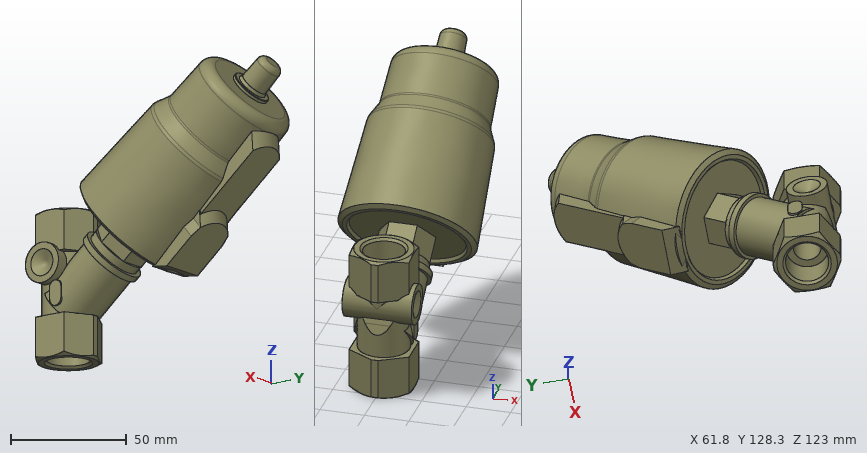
import cadquery as cq
import math

BODY_LENGTH = 66.0
HEX_LENGTH = 19.0
HEX_FLATS = 27.0
HEX_TURN = 30.0
HEX_TRIMMED_WIDTH = 29.4
HEX_END_DIAMETER = 26.2
HEX_CHAMFER_ANGLE = 30.0
PIPE_DIAMETER = 23.2
BORE_DIAMETER = 12.0
THREAD_DIAMETER = 18.63
THREAD_MOUTH_DIAMETER = 20.9
THREAD_DEPTH = 15.0

BOSS_DIAMETER = 18.0
BOSS_LENGTH = 31.2
BOSS_Y = -2.6
BOSS_Z = 9.3
DIMPLE_DIAMETER = 12.0
DIMPLE_DEPTH = 3.6

RELIEF_TIP_Z = -3.4
RELIEF_CREASE_Y = -10.1
RELIEF_CREASE_Z = 1.0
RELIEF_TOP_Y = -9.0
RELIEF_TOP_Z = 3.9

PAD_WIDTH = 6.2
PAD_HEIGHT = 11.4
PAD_Y = 3.0
PAD_Z = -4.7

AXIS_START_Z = -9.1
AXIS_TILT = 50.0

BRANCH_DIAMETER = 26.0
BRANCH_END = 29.4
COLLAR_DIAMETER = 29.0
COLLAR_END = 32.3
NECK_DIAMETER = 25.0
NECK_END = 36.1
STEM_FLATS = 22.0

RIM = 47.0
RIM_FACE_RADIUS = 28.6
SKIRT_BOTTOM = 48.5
SKIRT_RADIUS = 61.77 / 2
SKIRT_TOP = 95.6
SKIRT_TOP_RADIUS = 28.35
SHOULDER = 97.1
SHOULDER_RADIUS = 27.9
STEP_TOP = 103.4
STEP_TOP_RADIUS = 24.9
CAP_BOTTOM = 104.3
CAP_BOTTOM_RADIUS = 24.7
CAP_ROUND_START = 123.9
CAP_ROUND_RADIUS = 5.0
CAP_RADIUS = 23.9
CAP_FACE = CAP_ROUND_START + CAP_ROUND_RADIUS
RECESS_MOUTH_DIAMETER = 53.4
RECESS_FLOOR_DIAMETER = 51.7
RECESS_DEPTH = 1.5

PLUG_COLLAR_DIAMETER = 18.2
PLUG_COLLAR_HEIGHT = 1.6
PLUG_COLLAR_CHAMFER = 0.3
PLUG_FOOT_DIAMETER = 14.0
PLUG_FOOT_TOP = 132.0
PLUG_BASE_DIAMETER = 12.7
PLUG_TIP_DIAMETER = 11.8
PLUG_ROUND_RADIUS = 2.9
PLUG_END = 144.8

FIN_ROOT = 20.0
FIN_END_SLOPE = 0.72
FIN_END_RADIUS = 14.5
LONG_FIN_WIDTH = 19.0
LONG_FIN_DEPTH = 29.2
LONG_FIN_END = 120.3
SHORT_FIN_WIDTH = 22.0
SHORT_FIN_DEPTH = 33.9
SHORT_FIN_END = 79.7
SHORT_FIN_HEAD_WIDTH = 19.5
HEAD_TAPER_START = 75.1
HEAD_TAPER_END = 69.7
FIN_FOOT_DEPTH = 28.2
FIN_FOOT_STATION = 52.3


def cylinder(diameter, start, end):
    """Cylinder along Z between two stations."""
    return cq.Workplane("XY").workplane(offset=start).circle(diameter / 2).extrude(end - start)


def across_corners(flats):
    """Width across the corners of a hexagon, from its width across flats."""
    return flats / math.cos(math.pi / 6)


def hex_socket():
    """Upper hexagonal socket with two corners cut flat and a chamfered end."""
    bottom = BODY_LENGTH / 2 - HEX_LENGTH
    corner_diameter = across_corners(HEX_FLATS)
    prism = (
        cq.Workplane("XY").workplane(offset=bottom)
        .transformed(rotate=(0, 0, HEX_TURN))
        .polygon(6, corner_diameter).extrude(HEX_LENGTH)
    )
    trim = (
        cq.Workplane("XY").workplane(offset=bottom)
        .rect(HEX_FLATS, HEX_TRIMMED_WIDTH).extrude(HEX_LENGTH)
    )
    outer = corner_diameter / 2
    end_radius = HEX_END_DIAMETER / 2
    drop = (outer - end_radius) * math.tan(math.radians(HEX_CHAMFER_ANGLE))
    top = BODY_LENGTH / 2
    envelope = (
        cq.Workplane("XZ")
        .polyline([(0, bottom), (outer, bottom), (outer, top - drop), (end_radius, top), (0, top)])
        .close().revolve(360, (0, 0, 0), (0, 1, 0))
    )
    return prism.intersect(trim).intersect(envelope)


def thread_hole():
    """Threaded hole of the upper socket, with a countersunk mouth."""
    top = BODY_LENGTH / 2
    hole = THREAD_DIAMETER / 2
    mouth = THREAD_MOUTH_DIAMETER / 2
    return (
        cq.Workplane("XZ")
        .polyline([(0, top - THREAD_DEPTH), (hole, top - THREAD_DEPTH),
                   (hole, top - (mouth - hole)), (mouth, top), (0, top)])
        .close().revolve(360, (0, 0, 0), (0, 1, 0))
    )


def both_ends(upper):
    """The upper feature together with its mirror image at the lower end."""
    return upper.union(upper.mirror("XY"))


def pipe():
    """Pipe between the sockets, relieved below the boss."""
    half = BODY_LENGTH / 2 - HEX_LENGTH / 2
    front = -PIPE_DIAMETER / 2
    relief = (
        cq.Workplane("YZ")
        .polyline([(front, RELIEF_TIP_Z), (RELIEF_CREASE_Y, RELIEF_CREASE_Z),
                   (RELIEF_TOP_Y, RELIEF_TOP_Z), (front, BOSS_Z)])
        .close().extrude(PIPE_DIAMETER / 2, both=True)
    )
    return cylinder(PIPE_DIAMETER, -half, half).cut(relief)


def boss():
    """Cross boss along X with a conical dimple in each end."""
    half = BOSS_LENGTH / 2
    radius = BOSS_DIAMETER / 2
    dimple = DIMPLE_DIAMETER / 2
    return (
        cq.Workplane("XY")
        .polyline([(-half + DIMPLE_DEPTH, 0), (-half, dimple), (-half, radius),
                   (half, radius), (half, dimple), (half - DIMPLE_DEPTH, 0)])
        .close().revolve(360, (0, 0, 0), (1, 0, 0))
        .translate((0, BOSS_Y, BOSS_Z))
    )


def pads():
    """Oval pads level with the flats of the sockets."""
    return (
        cq.Workplane("YZ").center(PAD_Y, PAD_Z)
        .slot2D(PAD_HEIGHT, PAD_WIDTH, 90).extrude(HEX_FLATS / 2, both=True)
    )


def branch():
    """Branch, collar, neck and hexagonal stem, along Z from the axis start."""
    stem = (
        cq.Workplane("XY").workplane(offset=NECK_END)
        .polygon(6, across_corners(STEM_FLATS)).extrude(RIM + RECESS_DEPTH - NECK_END)
    )
    return (
        cylinder(BRANCH_DIAMETER, 0, BRANCH_END)
        .union(cylinder(COLLAR_DIAMETER, BRANCH_END, COLLAR_END))
        .union(cylinder(NECK_DIAMETER, COLLAR_END, NECK_END))
        .union(stem)
    )


def housing():
    """Turned actuator housing with a shallow recess in its rim face."""
    round_centre = CAP_RADIUS - CAP_ROUND_RADIUS
    diagonal = CAP_ROUND_RADIUS * math.sqrt(0.5)
    return (
        cq.Workplane("XZ")
        .moveTo(0, RIM + RECESS_DEPTH)
        .lineTo(RECESS_FLOOR_DIAMETER / 2, RIM + RECESS_DEPTH)
        .lineTo(RECESS_MOUTH_DIAMETER / 2, RIM)
        .lineTo(RIM_FACE_RADIUS, RIM)
        .lineTo(SKIRT_RADIUS, SKIRT_BOTTOM)
        .lineTo(SKIRT_TOP_RADIUS, SKIRT_TOP)
        .lineTo(SHOULDER_RADIUS, SHOULDER)
        .lineTo(STEP_TOP_RADIUS, STEP_TOP)
        .lineTo(CAP_BOTTOM_RADIUS, CAP_BOTTOM)
        .lineTo(CAP_RADIUS, CAP_ROUND_START)
        .threePointArc((round_centre + diagonal, CAP_ROUND_START + diagonal), (round_centre, CAP_FACE))
        .lineTo(0, CAP_FACE)
        .close().revolve(360, (0, 0, 0), (0, 1, 0))
    )


def plug():
    """Tapered indicator plug with a rounded tip and a flared foot, standing in a low collar."""
    collar = (
        cylinder(PLUG_COLLAR_DIAMETER, CAP_FACE, CAP_FACE + PLUG_COLLAR_HEIGHT)
        .faces(">Z").chamfer(PLUG_COLLAR_CHAMFER)
    )
    stub = (
        cq.Workplane("XZ")
        .polyline([(0, CAP_FACE), (PLUG_FOOT_DIAMETER / 2, CAP_FACE),
                   (PLUG_FOOT_DIAMETER / 2, CAP_FACE + PLUG_COLLAR_HEIGHT),
                   (PLUG_BASE_DIAMETER / 2, PLUG_FOOT_TOP), (PLUG_TIP_DIAMETER / 2, PLUG_END), (0, PLUG_END)])
        .close().revolve(360, (0, 0, 0), (0, 1, 0))
        .faces(">Z").edges().fillet(PLUG_ROUND_RADIUS)
    )
    return collar.union(stub)


def fin(width, depth, end, foot):
    """Fin under the housing; foot lists its (depth, station) corners nearest the rim."""
    root_end = end + FIN_END_SLOPE * (depth - FIN_ROOT)
    side = (
        cq.Workplane("YZ")
        .polyline([(FIN_ROOT, root_end), (depth, end)] + foot)
        .close().extrude(width / 2, both=True)
    )
    slope_length = math.hypot(1, FIN_END_SLOPE)
    end_plane = cq.Plane(
        origin=(0, FIN_ROOT, root_end),
        xDir=(1, 0, 0),
        normal=(0, 1 / slope_length, -FIN_END_SLOPE / slope_length),
    )
    reach = end + depth
    rounding = (
        cq.Workplane(end_plane)
        .moveTo(-FIN_END_RADIUS, FIN_END_RADIUS)
        .threePointArc((0, 0), (FIN_END_RADIUS, FIN_END_RADIUS))
        .lineTo(FIN_END_RADIUS, reach).lineTo(-FIN_END_RADIUS, reach)
        .close().extrude(reach, both=True)
    )
    return side.intersect(rounding)


def short_fin_plan():
    """Plan outline of the short fin: a narrow head widening toward the rim."""
    head = SHORT_FIN_HEAD_WIDTH / 2
    foot = SHORT_FIN_WIDTH / 2
    top = SHORT_FIN_END + SHORT_FIN_DEPTH
    return (
        cq.Workplane("XZ")
        .polyline([(-head, top), (-head, HEAD_TAPER_START), (-foot, HEAD_TAPER_END), (-foot, RIM),
                   (foot, RIM), (foot, HEAD_TAPER_END), (head, HEAD_TAPER_START), (head, top)])
        .close().extrude(-SHORT_FIN_DEPTH)
    )


def fins():
    """Long shallow fin and the short deep fin beside the rim."""
    foot_root = RIM + RECESS_DEPTH
    long_foot = [(LONG_FIN_DEPTH, FIN_FOOT_STATION), (FIN_ROOT, FIN_FOOT_STATION)]
    short_foot = [(SHORT_FIN_DEPTH, FIN_FOOT_STATION), (FIN_FOOT_DEPTH, RIM),
                  (FIN_FOOT_DEPTH, foot_root), (FIN_ROOT, foot_root)]
    long_fin = fin(LONG_FIN_WIDTH, LONG_FIN_DEPTH, LONG_FIN_END, long_foot)
    short_fin = fin(SHORT_FIN_WIDTH, SHORT_FIN_DEPTH, SHORT_FIN_END, short_foot)
    return long_fin.union(short_fin.intersect(short_fin_plan()))


def inclined(shape):
    """Move a shape from the Z axis onto the inclined axis."""
    return shape.rotate((0, 0, 0), (1, 0, 0), -AXIS_TILT).translate((0, 0, AXIS_START_Z))


actuator = housing().union(plug()).union(fins())
body = both_ends(hex_socket()).union(pipe()).union(boss()).union(pads())
bore = cylinder(BORE_DIAMETER, -BODY_LENGTH / 2, BODY_LENGTH / 2)
result = body.union(inclined(branch().union(actuator))).cut(bore).cut(both_ends(thread_hole()))